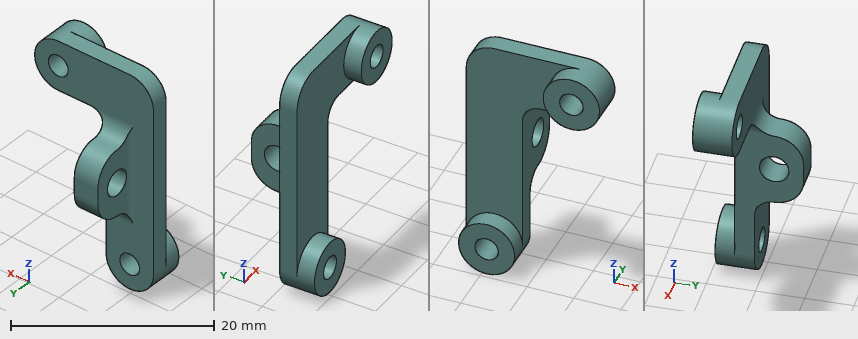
import cadquery as cq

height = 26.0
width = 15.0
end_radius = 3.0
arm_width = 2 * end_radius
inner_corner_radius = 2.0
plate_thickness = 2.0

boss_height = 2.0
boss_hole_diameter = 2.5
lower_boss = (end_radius, end_radius)
upper_boss = (width - end_radius, height - end_radius)

lug_reach = 5.0
lug_half_height = 4.0
lug_thickness = 3.0
lug_left = end_radius
lug_right = lug_left + lug_thickness
lug_center_z = 14.0
lug_tip_radius = 3.0
lug_flare_radius = lug_reach - lug_tip_radius
lug_hole_diameter = 3.0
lug_root_radius = 0.5


def extrude_plate_outline(distance):
    """Solid of the L outline; positive distances run toward -Y."""
    outline = (
        cq.Workplane("XZ")
        .moveTo(0, end_radius)
        .radiusArc((arm_width, end_radius), -end_radius)
        .lineTo(arm_width, height - arm_width - inner_corner_radius)
        .radiusArc((arm_width + inner_corner_radius, height - arm_width), inner_corner_radius)
        .lineTo(width - end_radius, height - arm_width)
        .radiusArc((width - end_radius, height), -end_radius)
        .lineTo(end_radius, height)
        .radiusArc((0, height - end_radius), -end_radius)
        .close()
    )
    return outline.extrude(distance)


def make_boss_cylinders(diameter):
    """Cylinders at both boss centers, through the plate and boss height."""
    return (
        cq.Workplane("XZ")
        .pushPoints([lower_boss, upper_boss])
        .circle(diameter / 2)
        .extrude(plate_thickness + boss_height)
    )


def make_lug():
    """Flared lug with a concave left root.

    Its right side is flush with the long arm and follows the inner corner of the plate.
    """
    bottom = lug_center_z - lug_half_height
    top = lug_center_z + lug_half_height
    outline = (
        cq.Workplane("YZ")
        .moveTo(0, bottom - lug_flare_radius)
        .radiusArc((lug_flare_radius, bottom), lug_flare_radius)
        .radiusArc((lug_reach, bottom + lug_tip_radius), -lug_tip_radius)
        .lineTo(lug_reach, top - lug_tip_radius)
        .radiusArc((lug_flare_radius, top), -lug_tip_radius)
        .radiusArc((0, top + lug_flare_radius), lug_flare_radius)
        .close()
        .extrude(width)
    )
    root_left = lug_left - lug_root_radius
    root_right = lug_right + inner_corner_radius
    section = (
        cq.Workplane("XY")
        .moveTo(root_left, 0)
        .radiusArc((lug_left, lug_root_radius), -lug_root_radius)
        .lineTo(lug_left, lug_reach)
        .lineTo(root_right, lug_reach)
        .lineTo(root_right, 0)
        .close()
        .extrude(height)
    )
    plate_shadow = extrude_plate_outline(-lug_reach)
    hole = (
        cq.Workplane("YZ")
        .center(lug_flare_radius, lug_center_z)
        .circle(lug_hole_diameter / 2)
        .extrude(width)
    )
    return outline.intersect(section).intersect(plate_shadow).cut(hole)


result = (
    extrude_plate_outline(plate_thickness)
    .union(make_boss_cylinders(2 * end_radius))
    .cut(make_boss_cylinders(boss_hole_diameter))
    .union(make_lug())
)